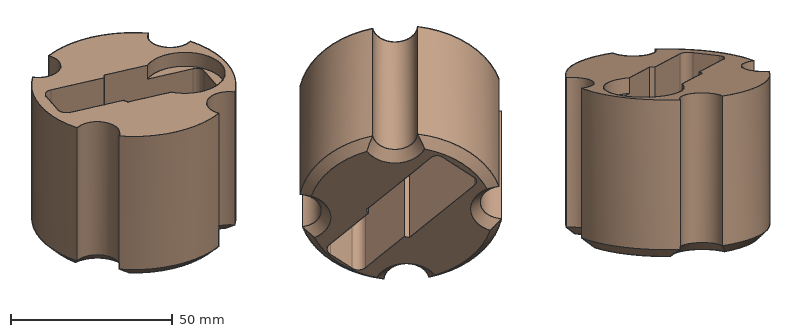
import cadquery as cq

BODY_DIAMETER = 63.5
BODY_HEIGHT = 51.0
BOTTOM_CHAMFER = 3.0

GROOVE_RADIUS = 7.0
GROOVE_COUNT = 4
FIRST_GROOVE_ANGLE = 45.0

WIDE_SLOT_WIDTH = 18.0
WIDE_SLOT_BACK_Y = 26.75
WIDE_SLOT_FRONT_Y = -5.95
WIDE_SLOT_CORNER_RADIUS = 2.5
NARROW_SLOT_WIDTH = 15.0
NARROW_SLOT_BACK_Y = -6.75
NARROW_SLOT_FRONT_Y = -27.8
NARROW_SLOT_CORNER_RADIUS = 3.0
STEP_ARC_RADIUS = 5.0

RECESS_DIAMETER = 25.0
RECESS_DEPTH = 5.0
RECESS_CENTER_Y = 17.4


def make_body():
    """Grooved cylinder with its whole bottom outline chamfered."""
    body_radius = BODY_DIAMETER / 2
    body = cq.Workplane("XY").circle(body_radius).extrude(BODY_HEIGHT)
    grooves = (
        cq.Workplane("XY")
        .polarArray(body_radius, FIRST_GROOVE_ANGLE, 360, GROOVE_COUNT, rotate=False)
        .circle(GROOVE_RADIUS)
        .extrude(BODY_HEIGHT)
    )
    return body.cut(grooves).faces("<Z").edges().chamfer(BOTTOM_CHAMFER)


def make_slot():
    """Wide back section that steps through two short arcs into a narrower front section."""
    half_wide = WIDE_SLOT_WIDTH / 2
    half_narrow = NARROW_SLOT_WIDTH / 2
    slot = (
        cq.Workplane("XY")
        .moveTo(half_wide, WIDE_SLOT_BACK_Y)
        .lineTo(half_wide, WIDE_SLOT_FRONT_Y)
        .radiusArc((half_narrow, NARROW_SLOT_BACK_Y), STEP_ARC_RADIUS)
        .lineTo(half_narrow, NARROW_SLOT_FRONT_Y)
        .lineTo(-half_narrow, NARROW_SLOT_FRONT_Y)
        .lineTo(-half_narrow, NARROW_SLOT_BACK_Y)
        .radiusArc((-half_wide, WIDE_SLOT_FRONT_Y), STEP_ARC_RADIUS)
        .lineTo(-half_wide, WIDE_SLOT_BACK_Y)
        .close()
        .extrude(BODY_HEIGHT)
    )
    slot = slot.faces(">Y").edges("|Z").fillet(WIDE_SLOT_CORNER_RADIUS)
    return slot.faces("<Y").edges("|Z").fillet(NARROW_SLOT_CORNER_RADIUS)


def make_recess():
    """Round pocket cutter sunk from the top face."""
    return (
        cq.Workplane("XY", origin=(0, RECESS_CENTER_Y, BODY_HEIGHT - RECESS_DEPTH))
        .circle(RECESS_DIAMETER / 2)
        .extrude(RECESS_DEPTH)
    )


result = make_body().cut(make_slot()).cut(make_recess())